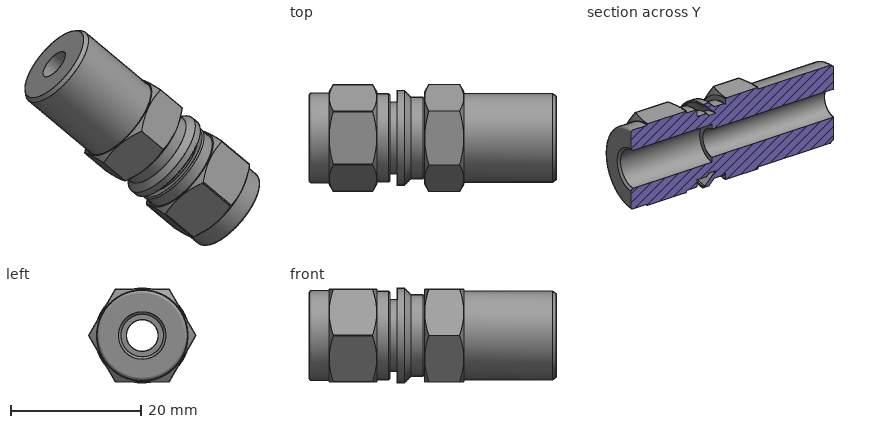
import cadquery as cq
import math

length = 38.05

nut_ring_dia = 13.9
nut_ring_round = 0.5
nut_hex_start = 3.05
nut_hex_end = 10.45
nut_hex_corner_dia = 16.4
nut_collar_dia = 13.6
nut_collar_end = 12.48
nut_collar_chamfer = 0.23

neck_dia = 11.1
neck_end = 14.23
relief_dia = 10.1
relief_start = neck_end + (neck_dia - relief_dia) / 2
flange_start = 13.55
flange_rim_end = 14.65
flange_dia = 14.6
dish_mouth_dia = 14.07
dish_cone_start = 13.9
dish_cone_end = dish_cone_start + (dish_mouth_dia - relief_dia) / 2
shoulder_dia = 12.6
shoulder_chamfer = 0.23
flange_cone_end = flange_rim_end + (flange_dia - shoulder_dia) / 2

body_hex_start = 17.73
body_hex_end = 23.85
hex_corner_dia = 16.5
hex_bevel_dia = 14.07
hex_bevel_angle = 30.0
hex_sides = 6
weld_end_dia = 13.7
weld_end_bevel_length = 0.6
weld_end_bevel_depth = 0.45

bore_dia = 4.85
socket_dia = 6.55
socket_mouth_dia = 7.3
socket_mouth_depth = (socket_mouth_dia - socket_dia) / 2
socket_depth = 15.2


def cylinder(start, end, diameter):
    """Solid cylinder along X between two stations."""
    return cq.Workplane("YZ", origin=(start, 0, 0)).circle(diameter / 2).extrude(end - start)


def revolved(points):
    """Solid turned about X from (station, radius) points."""
    return cq.Workplane("XY").polyline(points).close().revolve(360, (0, 0, 0), (1, 0, 0))


def bevelled_hex(start, end, corner_dia):
    """Hexagon with corners on +-Y, trimmed to corner_dia and coned at both ends."""
    prism = cq.Workplane("YZ", origin=(start, 0, 0)).polygon(hex_sides, hex_corner_dia).extrude(end - start)
    bevel_radius = hex_bevel_dia / 2
    corner_radius = corner_dia / 2
    bevel_length = (corner_radius - bevel_radius) * math.tan(math.radians(hex_bevel_angle))
    envelope = revolved([
        (start, 0),
        (start, bevel_radius),
        (start + bevel_length, corner_radius),
        (end - bevel_length, corner_radius),
        (end, bevel_radius),
        (end, 0),
    ])
    return prism.intersect(envelope)


def nut():
    """Rounded ring, hex and chamfered collar, joined solid to the body."""
    ring = cylinder(0, nut_hex_end, nut_ring_dia).faces("<X").edges().fillet(nut_ring_round)
    collar = cylinder(nut_hex_start, nut_collar_end, nut_collar_dia)
    collar = collar.faces(">X").edges().chamfer(nut_collar_chamfer)
    hexagon = bevelled_hex(nut_hex_start, nut_hex_end, nut_hex_corner_dia)
    return ring.union(collar).union(hexagon)


def body():
    """Neck, relief groove, flange dished on its nut side, shoulder, hex and bevelled weld end."""
    neck_radius = neck_dia / 2
    relief_radius = relief_dia / 2
    dish_radius = dish_mouth_dia / 2
    flange_radius = flange_dia / 2
    shoulder_radius = shoulder_dia / 2
    weld_radius = weld_end_dia / 2
    turned = revolved([
        (nut_hex_end, 0),
        (nut_hex_end, neck_radius),
        (neck_end, neck_radius),
        (relief_start, relief_radius),
        (dish_cone_end, relief_radius),
        (dish_cone_start, dish_radius),
        (flange_start, dish_radius),
        (flange_start, flange_radius),
        (flange_rim_end, flange_radius),
        (flange_cone_end, shoulder_radius),
        (body_hex_start - shoulder_chamfer, shoulder_radius),
        (body_hex_start, shoulder_radius - shoulder_chamfer),
        (body_hex_start, weld_radius),
        (length - weld_end_bevel_length, weld_radius),
        (length, weld_radius - weld_end_bevel_depth),
        (length, 0),
    ])
    return turned.union(bevelled_hex(body_hex_start, body_hex_end, hex_corner_dia))


def bores():
    """Through bore with a wider tube socket and a countersunk mouth at the nut end."""
    socket = revolved([
        (0, 0),
        (0, socket_mouth_dia / 2),
        (socket_mouth_depth, socket_dia / 2),
        (socket_depth, socket_dia / 2),
        (socket_depth, 0),
    ])
    return cylinder(0, length, bore_dia).union(socket)


result = nut().union(body()).cut(bores())